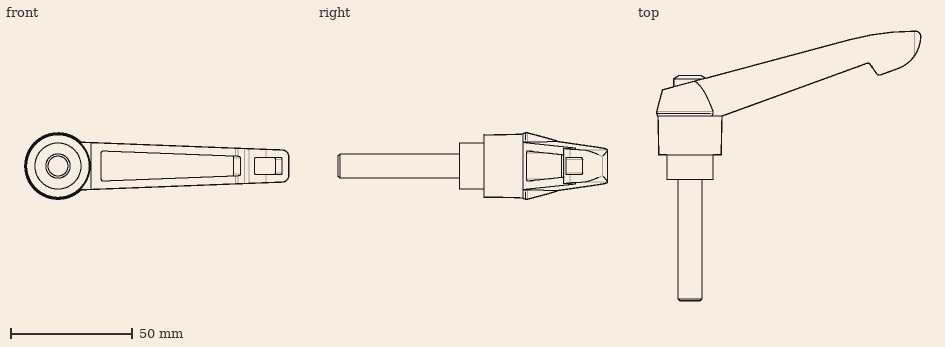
import cadquery as cq
import math


STUD_DIAMETER = 10.0
STUD_CHAMFER = 0.9
COLLAR_DIAMETER = 19.0
COLLAR_BASE_Y = 50.0
SLEEVE_BASE_Y = 60.1
SLEEVE_BASE_RADIUS = 12.9
SLEEVE_TOP_RADIUS = 13.2

HUB_BASE_Y = 76.2
HUB_DIAMETER = 27.4
HUB_RADIUS = HUB_DIAMETER / 2
RIM_CHAMFER_WIDTH = 0.3
RIM_CHAMFER_HEIGHT = 1.0
RIM_TOP_Y = 78.0
HUB_MIDDLE_Y = 87.0
HUB_MIDDLE_RADIUS = 11.3
HUB_CROWN_Y = 93.3
HUB_CROWN_RADIUS = 9.4

HEAD_RADIUS = 6.8
HEAD_TOP_Y = 92.9
HEAD_CHAMFER_HEIGHT = 1.4
HEAD_CHAMFER_WIDTH = 2.2

TOTAL_HEIGHT = 111.1
TOTAL_LENGTH = 108.7
ARM_TIP_X = TOTAL_LENGTH - HUB_RADIUS
TOP_SLOPE = math.radians(15)
TOP_AXIS_Y = 90.0
TOP_FLAT_X = 92.1
TIP_TOP_RADIUS = 2.2
NOSE_RADIUS = 14.4
UNDERSIDE_SLOPE = math.radians(20)
UNDERSIDE_START_X = 13.5
NOTCH_X = 73.6
HOOK_X = 77.4
HOOK_Y = 92.6
HOOK_ROUND = 1.5
NOTCH_ROUND = 0.9

ARM_ROOT_HALF_WIDTH = 10.2
ARM_TIP_HALF_WIDTH = 6.5
ARM_CORNER_RADIUS = 2.8

POCKET_LEAN = TOP_SLOPE
POCKET_ROOF = 2.7
LONG_POCKET_START_X = 17.8
LONG_POCKET_FLOOR_END_X = 72.3
LONG_POCKET_SIDE_WALL = 3.3
NOSE_POCKET_START_X = 80.9
NOSE_POCKET_FLOOR_END_X = 89.5
NOSE_POCKET_END_X = 92.2
NOSE_POCKET_END_Y = 100.9
NOSE_POCKET_HALF_WIDTH = 3.5
POCKET_CORNER_RADIUS = 0.8
POCKET_OVERCUT = 11.1
CUTTER_SIZE = 66.6


def top_y(x):
    """Height of the straight, sloped top of the lever."""
    return TOP_AXIS_Y + x * math.tan(TOP_SLOPE)


def arm_half_width(x):
    """Half of the lever width along Z, tapering towards the tip."""
    taper = (ARM_ROOT_HALF_WIDTH - ARM_TIP_HALF_WIDTH) / ARM_TIP_X
    return ARM_ROOT_HALF_WIDTH - taper * x


def extrude_both_ways(profile):
    return profile.extrude(CUTTER_SIZE, both=True)


def make_hub():
    hub = (
        cq.Workplane("XY")
        .moveTo(0, HUB_BASE_Y)
        .lineTo(HUB_RADIUS - RIM_CHAMFER_WIDTH, HUB_BASE_Y)
        .lineTo(HUB_RADIUS, HUB_BASE_Y + RIM_CHAMFER_HEIGHT)
        .lineTo(HUB_RADIUS, RIM_TOP_Y)
        .threePointArc((HUB_MIDDLE_RADIUS, HUB_MIDDLE_Y), (HUB_CROWN_RADIUS, HUB_CROWN_Y))
        .lineTo(0, HUB_CROWN_Y)
        .close()
        .revolve(360, (0, 0, 0), (0, 1, 0))
    )
    above_slope = extrude_both_ways(
        cq.Workplane("XY").polyline([
            (-CUTTER_SIZE, top_y(-CUTTER_SIZE)),
            (CUTTER_SIZE, top_y(CUTTER_SIZE)),
            (CUTTER_SIZE, TOTAL_HEIGHT + CUTTER_SIZE),
            (-CUTTER_SIZE, TOTAL_HEIGHT + CUTTER_SIZE),
        ]).close()
    )
    return hub.cut(above_slope)


def make_stud_and_sleeve():
    stud_radius = STUD_DIAMETER / 2
    collar_radius = COLLAR_DIAMETER / 2
    return (
        cq.Workplane("XY")
        .polyline([
            (0, 0),
            (stud_radius - STUD_CHAMFER, 0),
            (stud_radius, STUD_CHAMFER),
            (stud_radius, COLLAR_BASE_Y),
            (collar_radius, COLLAR_BASE_Y),
            (collar_radius, SLEEVE_BASE_Y),
            (SLEEVE_BASE_RADIUS, SLEEVE_BASE_Y),
            (SLEEVE_TOP_RADIUS, HUB_BASE_Y),
            (HEAD_RADIUS, HUB_BASE_Y),
            (HEAD_RADIUS, HEAD_TOP_Y - HEAD_CHAMFER_HEIGHT),
            (HEAD_RADIUS - HEAD_CHAMFER_WIDTH, HEAD_TOP_Y),
            (0, HEAD_TOP_Y),
        ])
        .close()
        .revolve(360, (0, 0, 0), (0, 1, 0))
    )


def make_arm_profile():
    slope_meets_level_x = (TOTAL_HEIGHT - TOP_AXIS_Y) / math.tan(TOP_SLOPE)
    tangent_length = TOP_FLAT_X - slope_meets_level_x
    curve_start_x = slope_meets_level_x - tangent_length * math.cos(TOP_SLOPE)

    notch_y = HUB_BASE_Y + (NOTCH_X - UNDERSIDE_START_X) * math.tan(UNDERSIDE_SLOPE)

    nose_center_x = ARM_TIP_X - NOSE_RADIUS
    nose_start_x = nose_center_x + NOSE_RADIUS * math.sin(UNDERSIDE_SLOPE)
    nose_start_y = HOOK_Y + (nose_start_x - HOOK_X) * math.tan(UNDERSIDE_SLOPE)
    nose_center_y = nose_start_y + NOSE_RADIUS * math.cos(UNDERSIDE_SLOPE)
    nose_end_y = TOTAL_HEIGHT - TIP_TOP_RADIUS
    nose_end_angle = math.asin((nose_end_y - nose_center_y) / NOSE_RADIUS)
    nose_mid_angle = (UNDERSIDE_SLOPE - math.pi / 2 + nose_end_angle) / 2

    def nose_point(angle):
        return (
            nose_center_x + NOSE_RADIUS * math.cos(angle),
            nose_center_y + NOSE_RADIUS * math.sin(angle),
        )

    profile = extrude_both_ways(
        cq.Workplane("XY")
        .moveTo(0, HUB_BASE_Y)
        .lineTo(UNDERSIDE_START_X, HUB_BASE_Y)
        .lineTo(NOTCH_X, notch_y)
        .lineTo(HOOK_X, HOOK_Y)
        .lineTo(nose_start_x, nose_start_y)
        .threePointArc(nose_point(nose_mid_angle), nose_point(nose_end_angle))
        .tangentArcPoint((ARM_TIP_X - TIP_TOP_RADIUS, TOTAL_HEIGHT), relative=False)
        .lineTo(TOP_FLAT_X, TOTAL_HEIGHT)
        .tangentArcPoint((curve_start_x, top_y(curve_start_x)), relative=False)
        .lineTo(0, TOP_AXIS_Y)
        .close()
    )
    hook_edge = cq.selectors.NearestToPointSelector((HOOK_X, HOOK_Y, 0))
    notch_edge = cq.selectors.NearestToPointSelector((NOTCH_X, notch_y, 0))
    profile = profile.edges(notch_edge).fillet(NOTCH_ROUND)
    return profile.edges(hook_edge).fillet(HOOK_ROUND)


def make_arm():
    plan = (
        cq.Workplane("XZ")
        .polyline([
            (0, -ARM_ROOT_HALF_WIDTH),
            (ARM_TIP_X, -ARM_TIP_HALF_WIDTH),
            (ARM_TIP_X, ARM_TIP_HALF_WIDTH),
            (0, ARM_ROOT_HALF_WIDTH),
        ])
        .close()
        .extrude(-2 * TOTAL_HEIGHT)
        .edges("|Y and >X")
        .fillet(ARM_CORNER_RADIUS)
    )
    return make_arm_profile().intersect(plan)


def make_pocket(side_profile, start_x, end_x, start_half_width, end_half_width):
    """Pocket cutter: a side profile limited to a tapered width in Z."""
    plan = (
        cq.Workplane("XZ")
        .polyline([
            (start_x, -start_half_width),
            (end_x, -end_half_width),
            (end_x, end_half_width),
            (start_x, start_half_width),
        ])
        .close()
        .extrude(-2 * TOTAL_HEIGHT)
    )
    pocket = extrude_both_ways(cq.Workplane("XY").polyline(side_profile).close())
    pocket = pocket.intersect(plan)
    return pocket.faces("<X or >X").edges("not |Z").fillet(POCKET_CORNER_RADIUS)


def roof_y(x):
    """Height of the long pocket's floor, a constant wall below the sloped top."""
    return top_y(x) - POCKET_ROOF / math.cos(TOP_SLOPE)


def make_long_pocket():
    floor_end_y = roof_y(LONG_POCKET_FLOOR_END_X)
    mouth_y = HUB_BASE_Y - POCKET_OVERCUT
    mouth_end_x = LONG_POCKET_FLOOR_END_X + (floor_end_y - mouth_y) * math.tan(POCKET_LEAN)
    side_profile = [
        (LONG_POCKET_START_X, mouth_y),
        (mouth_end_x, mouth_y),
        (LONG_POCKET_FLOOR_END_X, floor_end_y),
        (LONG_POCKET_START_X, roof_y(LONG_POCKET_START_X)),
    ]
    start_half_width = arm_half_width(LONG_POCKET_START_X) - LONG_POCKET_SIDE_WALL
    end_half_width = arm_half_width(mouth_end_x) - LONG_POCKET_SIDE_WALL
    return make_pocket(
        side_profile, LONG_POCKET_START_X, mouth_end_x, start_half_width, end_half_width
    )


def make_nose_pocket():
    floor_y = TOTAL_HEIGHT - POCKET_ROOF
    mouth_y = HOOK_Y - POCKET_OVERCUT
    lean = (NOSE_POCKET_END_X - NOSE_POCKET_FLOOR_END_X) / (floor_y - NOSE_POCKET_END_Y)
    mouth_end_x = NOSE_POCKET_FLOOR_END_X + (floor_y - mouth_y) * lean
    side_profile = [
        (NOSE_POCKET_START_X, mouth_y),
        (mouth_end_x, mouth_y),
        (NOSE_POCKET_FLOOR_END_X, floor_y),
        (NOSE_POCKET_START_X, floor_y),
    ]
    return make_pocket(
        side_profile,
        NOSE_POCKET_START_X,
        mouth_end_x,
        NOSE_POCKET_HALF_WIDTH,
        NOSE_POCKET_HALF_WIDTH,
    )


arm = make_arm().cut(make_long_pocket()).cut(make_nose_pocket())
result = make_hub().union(arm).union(make_stud_and_sleeve())